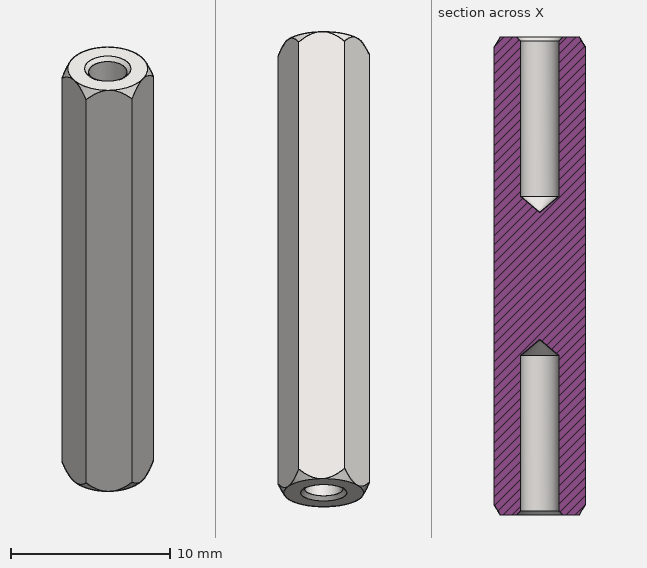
import cadquery as cq
import math

length = 30.0
across_flats = 5.0
across_corners = across_flats / math.cos(math.pi / 6)

end_face_diameter = across_flats
corner_chamfer_angle = 60.0

hole_diameter = 2.4
hole_depth = 10.0
drill_point_angle = 100.0
mouth_chamfer = 0.25


def hex_bar():
    """Hexagonal bar standing on Z = 0, with two flats facing +X and -X."""
    return (
        cq.Workplane("XY")
        .transformed(rotate=(0, 0, 30))
        .polygon(6, across_corners)
        .extrude(length)
    )


def turned_envelope():
    """Round body with conical ends that trims the corners of the bar."""
    end_radius = end_face_diameter / 2
    body_radius = across_corners
    cone_height = (body_radius - end_radius) * math.tan(math.radians(corner_chamfer_angle))
    return (
        cq.Workplane("XZ")
        .moveTo(0, 0)
        .lineTo(end_radius, 0)
        .lineTo(body_radius, cone_height)
        .lineTo(body_radius, length - cone_height)
        .lineTo(end_radius, length)
        .lineTo(0, length)
        .close()
        .revolve(360, (0, 0), (0, 1))
    )


def top_hole():
    """Solid of the countersunk blind hole that opens at the top face."""
    hole_radius = hole_diameter / 2
    point_height = hole_radius / math.tan(math.radians(drill_point_angle / 2))
    hole_bottom = length - hole_depth
    return (
        cq.Workplane("XZ")
        .moveTo(0, length)
        .lineTo(hole_radius + mouth_chamfer, length)
        .lineTo(hole_radius, length - mouth_chamfer)
        .lineTo(hole_radius, hole_bottom)
        .lineTo(0, hole_bottom - point_height)
        .close()
        .revolve(360, (0, 0), (0, 1))
    )


upper_hole = top_hole()
lower_hole = upper_hole.mirror("XY", (0, 0, length / 2))

result = hex_bar().intersect(turned_envelope()).cut(upper_hole).cut(lower_hole)